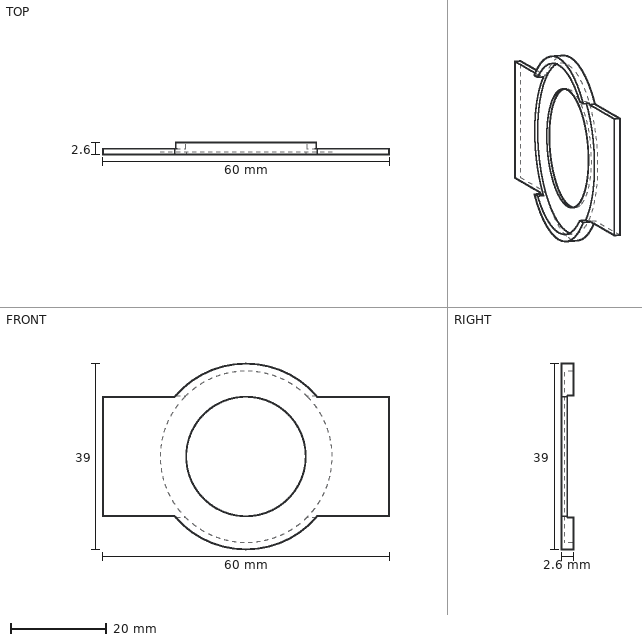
import cadquery as cq

length = 60.0
strap_height = 25.0
rim_diameter = 39.0
hole_diameter = 25.0
depth = 2.6
plate_thickness = 1.25

recess_diameter = 36.0
web_thickness = 0.6
lip_end_setback = 0.25

front_y = -depth / 2
plate_back_y = front_y + plate_thickness
web_back_y = front_y + web_thickness


def cylinder(diameter, start_y, thickness):
    """Round disc along Y, from start_y towards +Y."""
    return cq.Workplane("XZ", origin=(0, start_y, 0)).circle(diameter / 2).extrude(-thickness)


def make_strap():
    """Flat rectangular strap at the front of the part."""
    strap = cq.Workplane("XY").box(length, plate_thickness, strap_height)
    return strap.translate((0, front_y + plate_thickness / 2, 0))


def make_disc():
    """Full-depth disc, notched behind the strap so only an upper and a lower lip stand proud."""
    notch_depth = depth - plate_thickness
    notch_height = strap_height + 2 * lip_end_setback
    notch = cq.Workplane("XY").box(rim_diameter, notch_depth, notch_height)
    notch = notch.translate((0, plate_back_y + notch_depth / 2, 0))
    return cylinder(rim_diameter, front_y, depth).cut(notch)


recess = cylinder(recess_diameter, web_back_y, depth - web_thickness)
hole = cylinder(hole_diameter, front_y, depth)

result = make_strap().union(make_disc()).cut(recess).cut(hole)